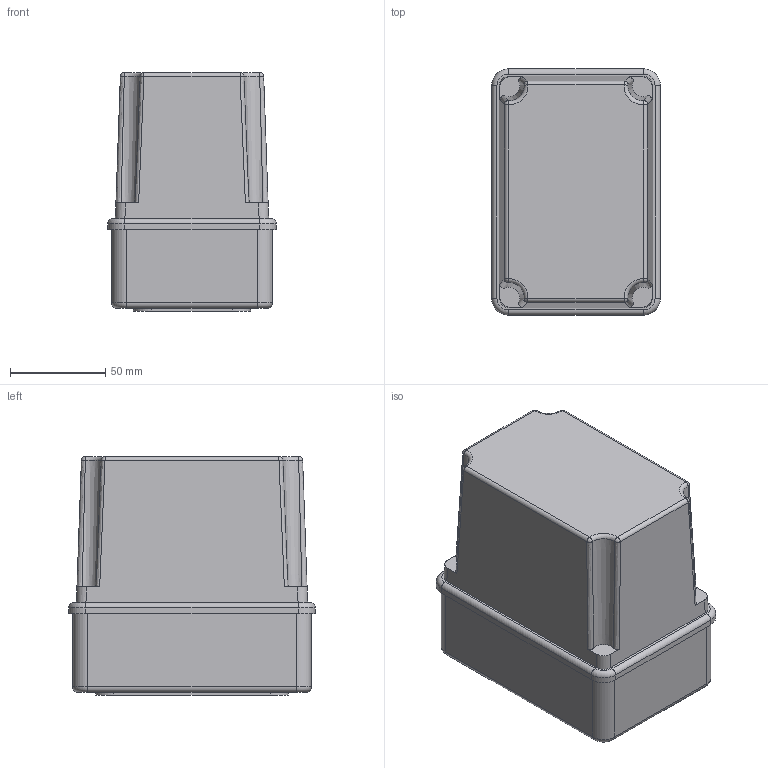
import cadquery as cq
import math

width = 88.36
length = 129.22
height = 125.1

pad_height = 1.5
split_level = 42.8
flange_top = 48.6
ledge_level = 56.9

base_inset = 2.0
base_corner_radius = 8.0
base_edge_fillet = 3.0
pad_width = 61.4
pad_length = 101.0
pad_corner_radius = 9.5

flange_corner_radius = 9.0
flange_edge_fillet = 2.75
tower_inset = 4.0
tower_corner_radius = flange_corner_radius - tower_inset
draft_angle = 2.0
notch_floor_radius = 5.7
tower_edge_fillet = 2.0

corner_x = width / 2 - flange_corner_radius
corner_y = length / 2 - flange_corner_radius


def rounded_block(size_x, size_y, bottom, top, corner_radius):
    """Upright block with rounded corners between two levels."""
    block = cq.Workplane("XY").workplane(offset=bottom).rect(size_x, size_y).extrude(top - bottom)
    return block.edges("|Z").fillet(corner_radius)


def make_base():
    box = rounded_block(
        width - 2 * base_inset, length - 2 * base_inset, pad_height, split_level, base_corner_radius
    )
    box = box.faces("<Z").edges().fillet(base_edge_fillet)
    pad = rounded_block(pad_width, pad_length, 0, pad_height, pad_corner_radius)
    return box.union(pad)


def tower_block(top):
    """Round-cornered block rising from the flange and narrowing upward at the draft angle."""
    outline = cq.Workplane("XY").workplane(offset=flange_top).rect(
        width - 2 * tower_inset, length - 2 * tower_inset
    )
    block = outline.extrude(top - flange_top, taper=draft_angle)
    return block.edges("not(|X or |Y)").fillet(tower_corner_radius)


def notch_cutter():
    """Cone that widens upward at the draft angle, so that the notch wall leans with the tower."""
    slope = math.tan(math.radians(draft_angle))
    bottom_radius = notch_floor_radius - (ledge_level - flange_top) * slope
    top_radius = notch_floor_radius + (height - ledge_level) * slope
    return cq.Solid.makeCone(bottom_radius, top_radius, height - flange_top, cq.Vector(0, 0, flange_top))


def make_tower():
    """Drafted tower with a screw notch in each corner, standing on a neck without notches."""
    tower = tower_block(height)
    for side_x in (-1, 1):
        for side_y in (-1, 1):
            tower = tower.cut(notch_cutter().translate(cq.Vector(side_x * corner_x, side_y * corner_y, 0)))
    notch_edges = tower.edges("%PARABOLA").vals()
    top_edges = tower.faces(">Z").edges().vals()
    tower = tower.newObject(notch_edges + top_edges).fillet(tower_edge_fillet)
    neck = tower_block(ledge_level)
    return tower.union(neck)


def make_cover():
    flange = rounded_block(width, length, split_level, flange_top, flange_corner_radius)
    flange = flange.faces(">Z").edges().fillet(flange_edge_fillet)
    return flange.union(make_tower())


base = make_base()
cover = make_cover()
result = cq.Compound.makeCompound([base.val(), cover.val()])